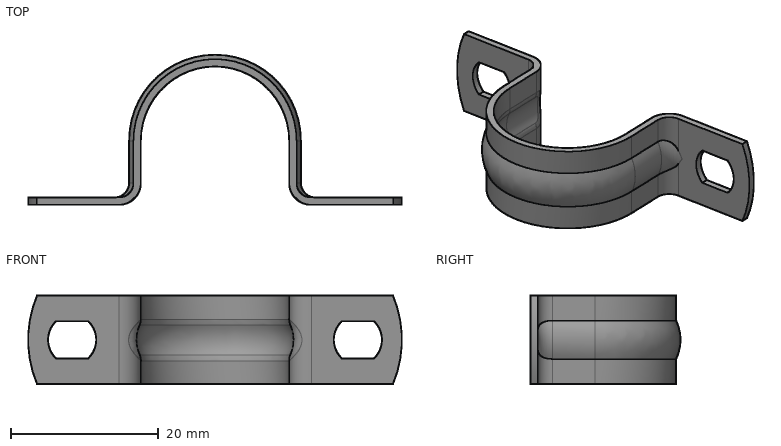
import cadquery as cq
import math

length = 50.6
width = 12.0
thickness = 1.0
saddle_radius = 10.0
saddle_height = 8.7
bend_radius = 3.0
end_setback = 1.2

hole_offset = 19.35
hole_length = 6.5
hole_height = 5.0
hole_flat_length = 4.35

rib_height = 0.6
groove_radius = 4.85
groove_fillet = 1.9
rib_root = 0.25
groove_overcut = 0.25

half_length = length / 2
half_width = width / 2
outer_radius = saddle_radius + thickness
inner_bend_radius = bend_radius - thickness
bend_center_x = saddle_radius + bend_radius
rib_radius = groove_radius + thickness
rib_bend_center_x = bend_center_x + rib_height
groove_half_chord = math.sqrt(groove_radius**2 - (groove_radius - rib_height)**2)
diagonal = math.sqrt(0.5)


def make_strap():
    """Bent strip extruded across the full width."""
    bend_mid_x = bend_center_x - bend_radius * diagonal
    bend_mid_y = bend_radius * (1 - diagonal)
    inner_mid_x = bend_center_x - inner_bend_radius * diagonal
    inner_mid_y = bend_radius - inner_bend_radius * diagonal
    return (
        cq.Workplane("XY").workplane(offset=-half_width)
        .moveTo(-half_length, 0)
        .lineTo(-bend_center_x, 0)
        .threePointArc((-bend_mid_x, bend_mid_y), (-saddle_radius, bend_radius))
        .lineTo(-saddle_radius, saddle_height)
        .threePointArc((0, saddle_height + saddle_radius), (saddle_radius, saddle_height))
        .lineTo(saddle_radius, bend_radius)
        .threePointArc((bend_mid_x, bend_mid_y), (bend_center_x, 0))
        .lineTo(half_length, 0)
        .lineTo(half_length, thickness)
        .lineTo(bend_center_x, thickness)
        .threePointArc((inner_mid_x, inner_mid_y), (outer_radius, bend_radius))
        .lineTo(outer_radius, saddle_height)
        .threePointArc((0, saddle_height + outer_radius), (-outer_radius, saddle_height))
        .lineTo(-outer_radius, bend_radius)
        .threePointArc((-inner_mid_x, inner_mid_y), (-bend_center_x, thickness))
        .lineTo(-half_length, thickness)
        .close()
        .extrude(width)
    )


def foot_outline():
    """Front outline with rounded ends, used to trim the strap."""
    corner_x = half_length - end_setback
    return (
        cq.Workplane("XZ")
        .moveTo(-corner_x, -half_width)
        .lineTo(corner_x, -half_width)
        .threePointArc((half_length, 0), (corner_x, half_width))
        .lineTo(-corner_x, half_width)
        .threePointArc((-half_length, 0), (-corner_x, -half_width))
        .close()
        .extrude(-(saddle_height + outer_radius))
    )


def mounting_hole(center_x):
    """Through cutter for one hole."""
    flat = hole_flat_length / 2
    top = hole_height / 2
    return (
        cq.Workplane("XZ").center(center_x, 0)
        .moveTo(-flat, -top)
        .lineTo(flat, -top)
        .threePointArc((hole_length / 2, 0), (flat, top))
        .lineTo(-flat, top)
        .threePointArc((-hole_length / 2, 0), (-flat, -top))
        .close()
        .extrude(-thickness)
    )


def rib_section(y):
    """Circular-segment bump on the outside of the right leg at height y."""
    half_chord = math.sqrt(rib_radius**2 - (rib_radius - rib_height)**2)
    root_x = outer_radius - rib_root
    return (
        cq.Workplane("XZ", origin=(0, y, 0))
        .moveTo(root_x, -half_chord)
        .lineTo(outer_radius, -half_chord)
        .threePointArc((outer_radius + rib_height, 0), (outer_radius, half_chord))
        .lineTo(root_x, half_chord)
        .close()
    )


def groove_section(y):
    """Concave circular segment on the inside of the right leg at height y."""
    back_x = saddle_radius - groove_overcut
    return (
        cq.Workplane("XZ", origin=(0, y, 0))
        .moveTo(back_x, -groove_half_chord)
        .lineTo(saddle_radius, -groove_half_chord)
        .threePointArc((saddle_radius + rib_height, 0), (saddle_radius, groove_half_chord))
        .lineTo(back_x, groove_half_chord)
        .close()
    )


def make_rib():
    """Bump over the arch, down both legs and around both foot bends."""
    arch = rib_section(saddle_height).revolve(180, (0, 0), (0, 1))
    leg = rib_section(bend_radius).extrude(bend_radius - saddle_height)
    bend = rib_section(bend_radius).revolve(90, (rib_bend_center_x, 0), (rib_bend_center_x, 1))
    side = leg.union(bend)
    return arch.union(side).union(side.mirror("YZ"))


def make_groove():
    """Groove cutter over the arch and straight down both legs, leaving through the bends."""
    arch = groove_section(saddle_height).revolve(180, (0, 0), (0, 1))
    leg = groove_section(0).extrude(-saddle_height)
    return arch.union(leg).union(leg.mirror("YZ"))


def box_selector(z_low, z_high, y_low, y_high):
    """Select edges of the saddle whose centres lie in the given Y and Z ranges."""
    return cq.selectors.BoxSelector(
        (-bend_center_x, y_low, z_low),
        (bend_center_x, y_high, z_high),
    )


def round_groove_lips(strap):
    """Fillet the two long lips of the groove and its two exits in the foot bends."""
    tol = 0.05
    top_y = saddle_height + outer_radius
    chord = groove_half_chord
    upper_lip = box_selector(chord - tol, half_width / 2, tol, top_y)
    lower_lip = box_selector(-half_width / 2, -chord + tol, tol, top_y)
    exits = box_selector(-chord, chord, tol, bend_radius - tol)
    return strap.edges(upper_lip + lower_lip + exits).fillet(groove_fillet)


strap = make_strap().intersect(foot_outline())
for side_sign in (-1, 1):
    strap = strap.cut(mounting_hole(side_sign * hole_offset))
strap = round_groove_lips(strap.cut(make_groove()))
result = strap.union(make_rib())